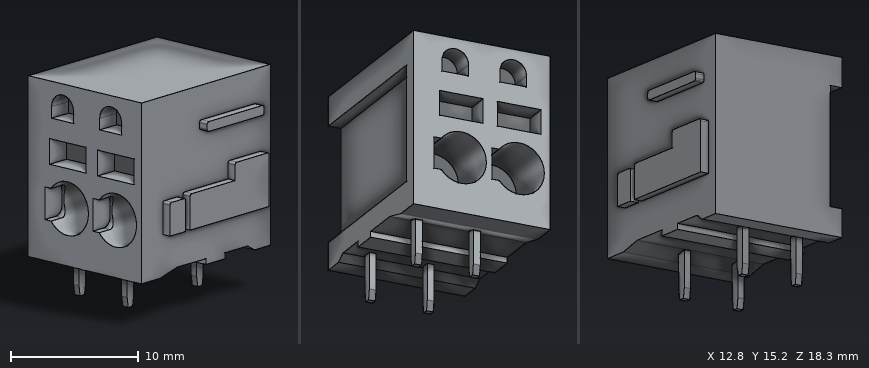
import cadquery as cq


housing_width = 12.0
housing_depth = 15.2
housing_height = 14.8
pole_count = 2
pole_pitch = 5.09

recess_depth = 1.12
recess_length = 13.96
recess_bottom = 2.38
recess_top_margin = 2.5
recess_top = housing_height - recess_top_margin

relief_height = 0.5
relief_front_ramp_start = 2.25
relief_front_ramp_end = 4.2
foot_front = 7.63
foot_rear = 9.86
relief_rear_ramp_start = 12.54
relief_rear_ramp_end = 13.35

wire_hole_x = 4.19
wire_hole_z = 4.7
wire_hole_radius = 2.2
wire_hole_depth = 5.0
clamp_slot_left = 1.8
clamp_slot_height = 2.67
clamp_slot_depth = 2.0
clamp_slot_radius = 0.73

button_left = 2.29
button_bottom = 7.98
button_width = 3.82
button_height = 2.1
button_depth = 2.0

arch_x = 3.66
arch_bottom = 11.79
arch_width = 2.32
arch_height = 2.1
arch_depth = 2.0

key_radius = 0.2
key_projection = 0.75
key_bottom = 3.53
front_key_front = 2.53
front_key_rear = 4.35
front_key_top = 6.25
stepped_key_front = 4.89
stepped_key_rear = 14.22
stepped_key_low_top = 6.48
stepped_key_high_top = 7.95

rib_projection = 0.8
rib_front = 6.85
rib_rear = 13.56
rib_bottom = 11.16
rib_height = 0.8
stepped_key_step = (rib_front + rib_rear) / 2

pin_x = 2.1
pin_row_places = (3.73, 11.93)
pin_thickness = 0.6
pin_width = 0.8
pin_tip_width = 0.53
pin_tip_length = 0.88
pin_length_below_housing = 3.5

pole_offsets = [pole * pole_pitch for pole in range(pole_count)]


def box(x_min, x_max, y_min, y_max, z_min, z_max):
    """Box between opposite limits on each axis."""
    return cq.Workplane("XY").box(
        x_max - x_min, y_max - y_min, z_max - z_min, centered=False
    ).translate((x_min, y_min, z_min))


def entry_face_sketch():
    """Workplane on the wire-entry face: local x is X, local y is Z, negative extrusions go inward."""
    return cq.Workplane("XZ")


def side_recess():
    return box(0, recess_depth, housing_depth - recess_length, housing_depth, recess_bottom, recess_top)


def underside_relief():
    """Two ramped reliefs, in front of and behind the central foot, across the whole width."""
    front_relief = (
        cq.Workplane("YZ")
        .moveTo(relief_front_ramp_start, 0)
        .lineTo(relief_front_ramp_end, relief_height)
        .lineTo(foot_front, relief_height)
        .lineTo(foot_front, 0)
        .close()
        .extrude(housing_width)
    )
    rear_relief = (
        cq.Workplane("YZ")
        .moveTo(foot_rear, 0)
        .lineTo(foot_rear, relief_height)
        .lineTo(relief_rear_ramp_start, relief_height)
        .lineTo(relief_rear_ramp_end, 0)
        .close()
        .extrude(housing_width)
    )
    return front_relief.union(rear_relief)


def wire_hole():
    """Round wire hole, widened on one side by a slot with a rounded inner end."""
    round_hole = (
        entry_face_sketch()
        .center(wire_hole_x, wire_hole_z)
        .circle(wire_hole_radius)
        .extrude(-wire_hole_depth)
    )
    slot_bottom = wire_hole_z - clamp_slot_height / 2
    slot = box(
        clamp_slot_left, wire_hole_x, 0, clamp_slot_depth, slot_bottom, slot_bottom + clamp_slot_height
    )
    slot = slot.faces(">Y").edges("|X").fillet(clamp_slot_radius)
    return round_hole.union(slot)


def button_window():
    return box(
        button_left, button_left + button_width, 0, button_depth, button_bottom, button_bottom + button_height
    )


def test_opening():
    """Flat-bottomed opening with a semicircular top."""
    arch_radius = arch_width / 2
    arch_spring = arch_bottom + arch_height - arch_radius
    return (
        entry_face_sketch()
        .moveTo(arch_x - arch_radius, arch_bottom)
        .lineTo(arch_x + arch_radius, arch_bottom)
        .lineTo(arch_x + arch_radius, arch_spring)
        .threePointArc((arch_x, arch_spring + arch_radius), (arch_x - arch_radius, arch_spring))
        .close()
        .extrude(-arch_depth)
    )


def side_block(projection, front, rear, bottom, top):
    """Block standing on the far side face of the housing."""
    return box(housing_width, housing_width + projection, front, rear, bottom, top)


def front_key():
    key = side_block(key_projection, front_key_front, front_key_rear, key_bottom, front_key_top)
    return key.faces(">Z").edges("|X").fillet(key_radius)


def stepped_key():
    """Key with a low front part and a high rear part, its upper corners rounded."""
    low_part = side_block(
        key_projection, stepped_key_front, stepped_key_step, key_bottom, stepped_key_low_top
    )
    low_part = low_part.edges("|X and >Z and <Y").fillet(key_radius)
    high_part = side_block(
        key_projection, stepped_key_step, stepped_key_rear, key_bottom, stepped_key_high_top
    )
    high_part = high_part.faces(">Z").edges("|X").fillet(key_radius)
    return low_part.union(high_part)


def coupling_rib():
    """Straight rib with rounded corners at both ends."""
    rib = side_block(rib_projection, rib_front, rib_rear, rib_bottom, rib_bottom + rib_height)
    return rib.edges("|X").fillet(key_radius)


def make_pin(x, y):
    """Flat solder pin standing against the relief ceiling, tapered in Y at its tip."""
    half_width = pin_width / 2
    half_tip = pin_tip_width / 2
    tip_z = -pin_length_below_housing
    taper_z = tip_z + pin_tip_length
    return (
        cq.Workplane("YZ")
        .moveTo(y - half_width, relief_height)
        .lineTo(y + half_width, relief_height)
        .lineTo(y + half_width, taper_z)
        .lineTo(y + half_tip, tip_z)
        .lineTo(y - half_tip, tip_z)
        .lineTo(y - half_width, taper_z)
        .close()
        .extrude(pin_thickness)
        .translate((x - pin_thickness / 2, 0, 0))
    )


def make_housing(fitted_pins):
    body = box(0, housing_width, 0, housing_depth, 0, housing_height)
    body = body.cut(side_recess()).cut(underside_relief())
    for offset in pole_offsets:
        for opening in (wire_hole(), button_window(), test_opening()):
            body = body.cut(opening.translate((offset, 0, 0)))
    for projection in (front_key(), stepped_key(), coupling_rib()):
        body = body.union(projection)
    for pin in fitted_pins:
        body = body.cut(pin)
    return body.solids()


pins = [make_pin(pin_x + offset, row_y) for offset in pole_offsets for row_y in pin_row_places]
housing = make_housing(pins)

result = cq.Compound.makeCompound([housing.val(), *[pin.val() for pin in pins]])